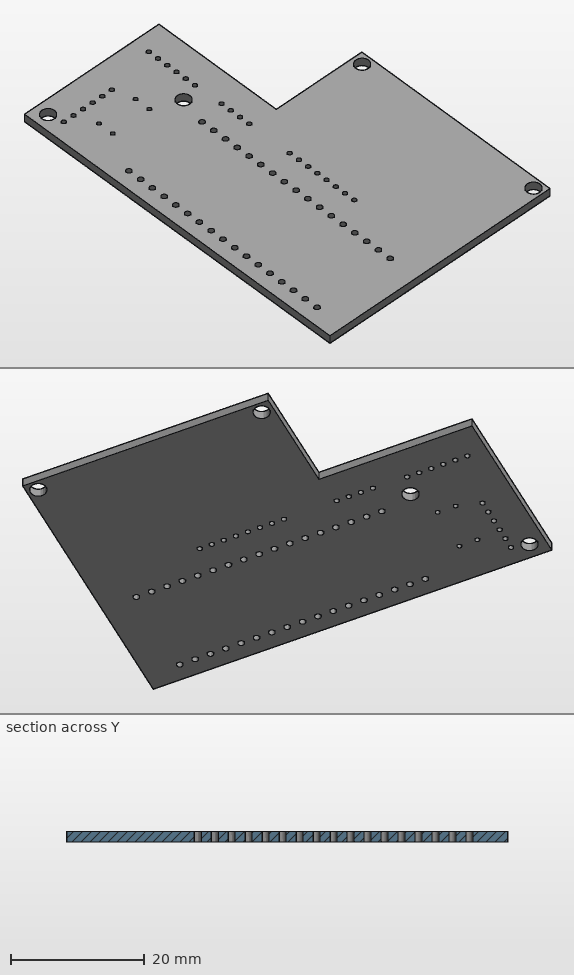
import cadquery as cq

length = 66.05
width = 45.7
thickness = 1.6
notch_length = 25.35
lower_width = 27.95

mounting_diameter = 2.6
mounting_sides = 36
mounting_points = [
    (2.5, 2.5),
    (14.25, 19.35),
    (27.3, 43.9),
    (64.25, 44.0),
]

module_diameter = 1.0
module_pins = 17
module_first_x = 19.6
module_row_length = 40.7
module_lower_y = 2.85
module_row_spacing = 15.2

connector_gaps = 5
connector_row_length = 10.0
connector_pitch = connector_row_length / connector_gaps
connector_pins = connector_gaps + 1
connector_diameter = 0.8
left_connector_start = (3.25, 22.7)
upright_connector_start = (5.3, 3.1)
upper_connector_y = 22.85
four_pin_start_x = 18.8
four_pin_count = 4
eight_pin_start_x = 33.55
eight_pin_count = 8

button_diameter = 0.7
button_x = 9.2
button_y = 6.7
button_spacing_x = 3.0
button_spacing_y = 7.6


def row(start, count, step_x=0.0, step_y=0.0):
    """Points of a straight row of evenly spaced holes."""
    x, y = start
    return [(x + i * step_x, y + i * step_y) for i in range(count)]


def drill(board, points, diameter):
    """Cut round through holes at the given points."""
    cutters = cq.Workplane("XY").pushPoints(points).circle(diameter / 2).extrude(thickness)
    return board.cut(cutters)


def make_blank():
    """L-shaped board without holes."""
    outline = [
        (0, 0),
        (length, 0),
        (length, width),
        (notch_length, width),
        (notch_length, lower_width),
        (0, lower_width),
    ]
    return cq.Workplane("XY").polyline(outline).close().extrude(thickness)


def cut_mounting_holes(board):
    """Cut the many-sided mounting holes through the board."""
    base = cq.Workplane("XY").pushPoints(mounting_points)
    cutters = base.polygon(mounting_sides, mounting_diameter).extrude(thickness)
    return board.cut(cutters)


def drill_module_rows(board):
    pitch = module_row_length / (module_pins - 1)
    for y in (module_lower_y, module_lower_y + module_row_spacing):
        board = drill(board, row((module_first_x, y), module_pins, step_x=pitch), module_diameter)
    return board


def drill_connectors(board):
    left = row(left_connector_start, connector_pins, step_x=connector_pitch)
    upright = row(upright_connector_start, connector_pins, step_y=connector_pitch)
    four_pin = row((four_pin_start_x, upper_connector_y), four_pin_count, step_x=connector_pitch)
    eight_pin = row((eight_pin_start_x, upper_connector_y), eight_pin_count, step_x=connector_pitch)
    return drill(board, left + upright + four_pin + eight_pin, connector_diameter)


def drill_button(board):
    for y in (button_y, button_y + button_spacing_y):
        leads = row((button_x, y), 2, step_x=button_spacing_x)
        board = drill(board, leads, button_diameter)
    return board


result = make_blank()
result = cut_mounting_holes(result)
result = drill_module_rows(result)
result = drill_connectors(result)
result = drill_button(result)